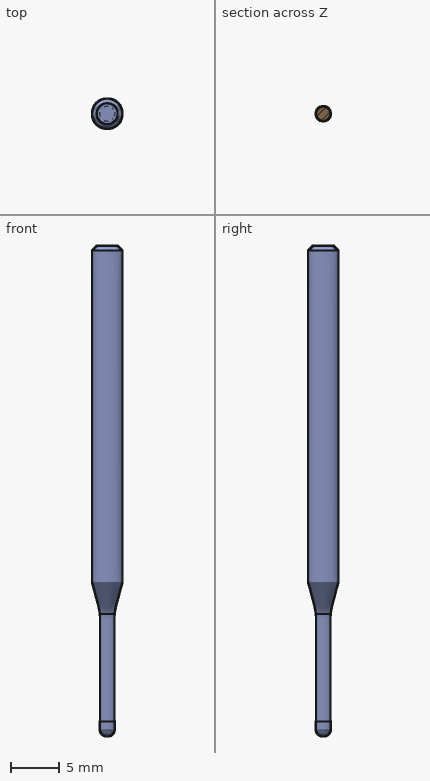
import cadquery as cq
import math

overall_length = 50.8
shank_radius = 3.175 / 2
end_chamfer = 0.5
reach = 12.7

head_radius = shank_radius / 2
head_length = 2 * head_radius

neck_radius = 0.76

taper_top_z = 16.0
taper_angle = math.radians(15)
blend_radius = 5.75

taper_corner_z = taper_top_z - (shank_radius - neck_radius) / math.tan(taper_angle)
blend_tangent_length = blend_radius * math.tan(taper_angle / 2)
blend_bottom_z = taper_corner_z - blend_tangent_length
blend_top_z = taper_corner_z + blend_tangent_length * math.cos(taper_angle)


def blend_point(z):
    """Point (radius, height) on the concave blend arc at height z."""
    rise = z - blend_bottom_z
    radius = neck_radius + blend_radius - math.sqrt(blend_radius**2 - rise**2)
    return radius, z


def blend_arc(profile, start_z, end_z):
    """Continue a profile along the blend arc from start_z up to end_z."""
    middle_z = (start_z + end_z) / 2
    return profile.threePointArc(blend_point(middle_z), blend_point(end_z))


def revolve_about_axis(profile):
    """Turn a half profile, drawn in the XZ plane, into a round solid about Z."""
    return profile.close().revolve(360, (0, 0, 0), (0, 1, 0))


def make_cutter():
    """Ball head, neck and the lower part of the blend, up to the joint."""
    nose_middle_radius = head_radius * math.sin(math.pi / 4)
    nose_middle_z = head_radius * (1 - math.cos(math.pi / 4))
    profile = (
        cq.Workplane("XZ")
        .threePointArc((nose_middle_radius, nose_middle_z), (head_radius, head_radius))
        .lineTo(head_radius, head_length)
        .lineTo(neck_radius, head_length)
        .lineTo(neck_radius, blend_bottom_z)
    )
    profile = blend_arc(profile, blend_bottom_z, reach).lineTo(0, reach)
    return revolve_about_axis(profile)


def make_shank():
    """Upper part of the blend, taper and chamfered shank above the joint."""
    profile = cq.Workplane("XZ").moveTo(0, reach).lineTo(*blend_point(reach))
    profile = (
        blend_arc(profile, reach, blend_top_z)
        .lineTo(shank_radius, taper_top_z)
        .lineTo(shank_radius, overall_length - end_chamfer)
        .lineTo(shank_radius - end_chamfer, overall_length)
        .lineTo(0, overall_length)
    )
    return revolve_about_axis(profile)


cutter = make_cutter()
shank = make_shank()

result = cq.Compound.makeCompound([cutter.val(), shank.val()])